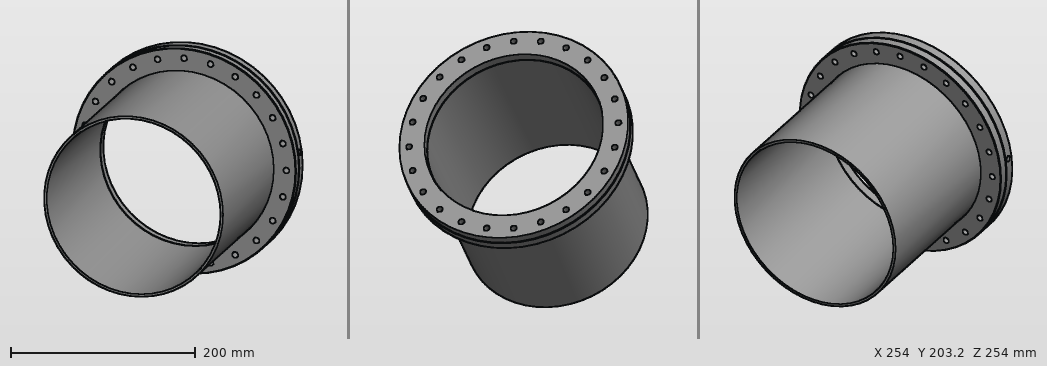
import cadquery as cq

total_length = 203.2
flange_diameter = 254.0
flange_thickness = 24.5
flange_front = total_length - flange_thickness
edge_chamfer = 0.8

tube_diameter = 203.2
tube_bore = 197.0
socket_diameter = 203.7
socket_depth = flange_thickness / 2
flange_bore = 198.5
tube_length = flange_front + socket_depth

rim_groove_width = 1.0
rim_groove_depth = 0.5
rim_groove_start = flange_front + (flange_thickness - rim_groove_width) / 2

bolt_count = 24
bolt_circle_diameter = 232.2
bolt_hole_diameter = 6.5

rim_hole_diameter = 6.5
rim_hole_depth = 12.7
rim_hole_from_back = 6.9
rim_hole_angle = 360 / bolt_count / 2

cut_overrun = 2.5


def disc(diameter, start, length):
    """Solid cylinder on the Y axis, running in +Y from Y = start."""
    return cq.Workplane("XZ", origin=(0, start, 0)).circle(diameter / 2).extrude(-length)


def ring(outer_diameter, inner_diameter, start, length):
    """Hollow cylinder on the Y axis, running in +Y from Y = start."""
    return disc(outer_diameter, start, length).cut(disc(inner_diameter, start, length))


def bolt_holes():
    """Cutters for the ring of bolt holes through the flange."""
    return (
        cq.Workplane("XZ", origin=(0, flange_front, 0))
        .polarArray(bolt_circle_diameter / 2, 0, 360, bolt_count)
        .circle(bolt_hole_diameter / 2)
        .extrude(-flange_thickness)
    )


def rim_hole():
    """Cutter for the blind radial hole, on the +X side and tilted towards +Z."""
    floor_radius = flange_diameter / 2 - rim_hole_depth
    return (
        cq.Workplane("YZ", origin=(floor_radius, total_length - rim_hole_from_back, 0))
        .circle(rim_hole_diameter / 2)
        .extrude(rim_hole_depth + cut_overrun)
        .rotate((0, 0, 0), (0, 1, 0), -rim_hole_angle)
    )


def make_flange():
    body = disc(flange_diameter, flange_front, flange_thickness)
    body = body.faces("<Y").edges().chamfer(edge_chamfer)

    groove_floor_diameter = flange_diameter - 2 * rim_groove_depth
    body = body.cut(ring(flange_diameter, groove_floor_diameter, rim_groove_start, rim_groove_width))

    body = body.cut(disc(flange_bore, flange_front, flange_thickness))
    body = body.cut(disc(socket_diameter, flange_front, socket_depth))
    return body.cut(bolt_holes()).cut(rim_hole())


def make_tube():
    return ring(tube_diameter, tube_bore, 0, tube_length)


flange = make_flange()
tube = make_tube()

result = cq.Compound.makeCompound([flange.solids().val(), tube.solids().val()])